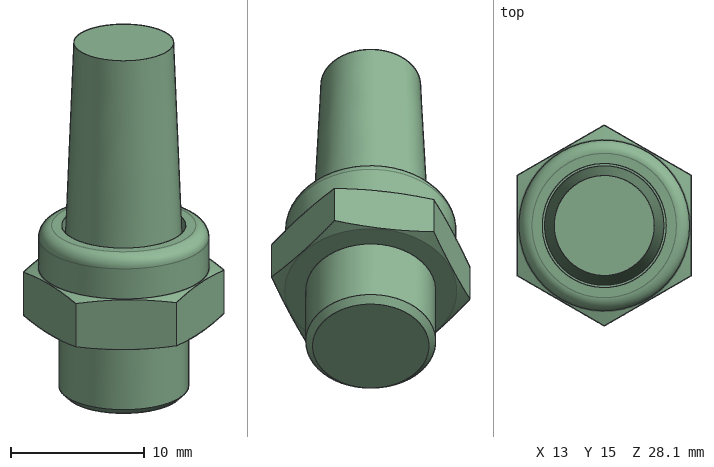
import cadquery as cq
import math

total_height = 28.1
hex_bottom = 5.95
hex_top = 10.0
collar_top = 13.4

shank_radius = 4.85
shank_chamfer = 0.5
hex_across_flats = 13.0
hex_chamfer_radius = 6.43
hex_chamfer_angle = 15.0
collar_radius = 6.38
collar_fillet = 0.98
bore_radius = 4.65

insert_top_radius = 3.75
insert_mouth_radius = 4.33

bore_floor = hex_top
bore_depth = collar_top - bore_floor
hex_corner_radius = hex_across_flats / math.sqrt(3)
hex_height = hex_top - hex_bottom


def make_hex_nut():
    """Hexagon with corners on the Y axis, bevelled at both ends."""
    prism = (
        cq.Workplane("XY", origin=(0, 0, hex_bottom))
        .polygon(6, 2 * hex_corner_radius)
        .extrude(hex_height)
        .rotate((0, 0, 0), (0, 0, 1), 90)
    )
    bevel_drop = (hex_corner_radius - hex_chamfer_radius) * math.tan(math.radians(hex_chamfer_angle))
    bevel_envelope = (
        cq.Workplane("XZ")
        .moveTo(0, hex_bottom)
        .lineTo(hex_chamfer_radius, hex_bottom)
        .lineTo(hex_corner_radius, hex_bottom + bevel_drop)
        .lineTo(hex_corner_radius, hex_top - bevel_drop)
        .lineTo(hex_chamfer_radius, hex_top)
        .lineTo(0, hex_top)
        .close()
        .revolve()
    )
    return prism.intersect(bevel_envelope)


def make_housing():
    """Chamfered shank, hexagon and rounded collar with a blind bore."""
    shank = cq.Workplane("XY").circle(shank_radius).extrude(hex_bottom)
    shank = shank.faces("<Z").chamfer(shank_chamfer)
    collar = cq.Workplane("XY", origin=(0, 0, hex_top)).circle(collar_radius).extrude(collar_top - hex_top)
    collar = collar.faces(">Z").edges().fillet(collar_fillet)
    bore = cq.Workplane("XY", origin=(0, 0, bore_floor)).circle(bore_radius).extrude(bore_depth)
    return shank.union(make_hex_nut()).union(collar).cut(bore)


def make_insert():
    """Solid cone frustum standing on the bore floor."""
    taper = (insert_mouth_radius - insert_top_radius) / (total_height - collar_top)
    insert_base_radius = insert_mouth_radius + taper * bore_depth
    return (
        cq.Workplane("XZ")
        .moveTo(0, bore_floor)
        .lineTo(insert_base_radius, bore_floor)
        .lineTo(insert_top_radius, total_height)
        .lineTo(0, total_height)
        .close()
        .revolve()
    )


housing = make_housing()
insert = make_insert()

result = cq.Compound.makeCompound([housing.val(), insert.val()])